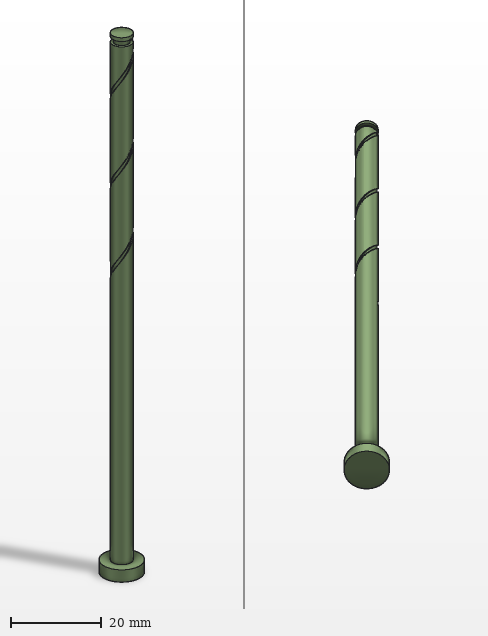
import cadquery as cq

total_length = 133.5
head_diameter = 10.0
head_height = 3.1
shaft_diameter = 5.1

end_disc_height = 1.0
ring_groove_width = 1.3
ring_groove_depth = 0.7

spiral_pitch = 22.2
spiral_turns = 3
spiral_start_z = 64.7
spiral_height = spiral_pitch * spiral_turns
spiral_width = 1.3
spiral_depth = 0.3
spiral_overlap = 0.4
spiral_start_angle = 90.0

shaft_radius = shaft_diameter / 2


def make_headed_pin():
    head = cq.Workplane("XY").circle(head_diameter / 2).extrude(head_height)
    shaft = cq.Workplane("XY").circle(shaft_radius).extrude(total_length)
    return head.union(shaft)


def make_ring_groove():
    bottom_z = total_length - end_disc_height - ring_groove_width
    return (
        cq.Workplane("XY", origin=(0, 0, bottom_z))
        .circle(shaft_radius + ring_groove_depth)
        .circle(shaft_radius - ring_groove_depth)
        .extrude(ring_groove_width)
    )


def make_spiral_cutter():
    path = cq.Wire.makeHelix(spiral_pitch, spiral_height, shaft_radius)
    radial_size = spiral_depth + spiral_overlap
    centre_radius = shaft_radius + (spiral_overlap - spiral_depth) / 2
    cutter = (
        cq.Workplane("XZ")
        .center(centre_radius, 0)
        .rect(radial_size, spiral_width)
        .sweep(cq.Workplane(path), isFrenet=True)
    )
    return cutter.rotate((0, 0, 0), (0, 0, 1), spiral_start_angle).translate((0, 0, spiral_start_z))


result = make_headed_pin().cut(make_ring_groove()).cut(make_spiral_cutter())